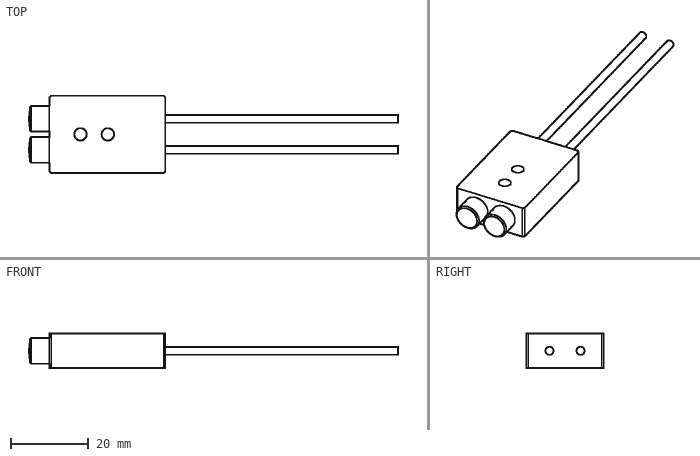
import cadquery as cq

total_length = 95.3
body_length = 29.9
body_width = 20.0
body_height = 9.0
body_edge_chamfer = 0.5

pair_spacing = 8.0
nose_length = 5.3
nose_radius = 3.3
nose_chamfer = 0.4
nose_tip_rise = 0.3
cable_diameter = 2.1
cable_length = total_length - nose_length - body_length

hole_diameter = 3.1
first_hole_x = 8.0
hole_spacing = 7.05


def make_body():
    block = cq.Workplane("XY").box(body_length, body_width, body_height, centered=(False, True, True))
    return block.edges("|Z").chamfer(body_edge_chamfer)


def make_nose(y):
    """Chamfered cylinder with a shallow conical face, revolved about its X axis."""
    face_x = -nose_length + nose_tip_rise
    face_radius = nose_radius - nose_chamfer
    profile = (
        cq.Workplane("XY")
        .moveTo(0, 0)
        .lineTo(0, nose_radius)
        .lineTo(face_x + nose_chamfer, nose_radius)
        .lineTo(face_x, face_radius)
        .lineTo(-nose_length, 0)
        .close()
    )
    return profile.revolve(360, (0, 0, 0), (1, 0, 0)).translate((0, y, 0))


def make_cable(y):
    return (
        cq.Workplane("YZ", origin=(body_length, y, 0))
        .circle(cable_diameter / 2)
        .extrude(cable_length)
    )


def make_mounting_holes():
    return (
        cq.Workplane("XY", origin=(first_hole_x, 0, -body_height / 2))
        .pushPoints([(0, 0), (hole_spacing, 0)])
        .circle(hole_diameter / 2)
        .extrude(body_height)
    )


result = make_body()
for side in (-1, 1):
    y = side * pair_spacing / 2
    result = result.union(make_nose(y)).union(make_cable(y))
result = result.cut(make_mounting_holes())